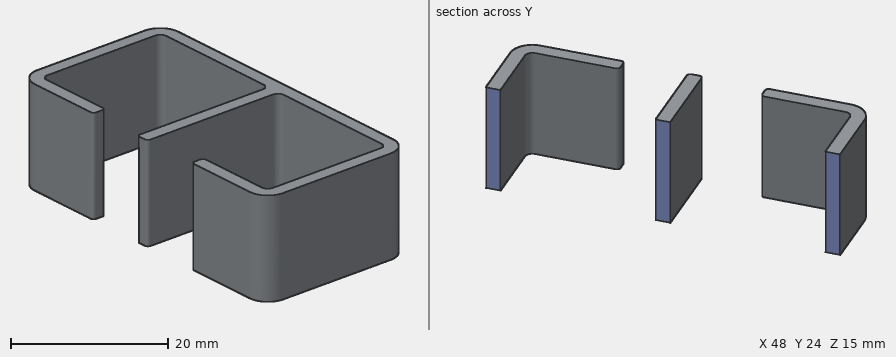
import cadquery as cq

width = 48.0
depth = 24.0
height = 15.0

wall = 2.0
outer_radius = 3.0
inner_radius = outer_radius - wall
lip_length = 14.4
tip_radius = 0.5

web_face_x = wall / 2
side_inner_x = width / 2 - wall
lip_tip_x = width / 2 - lip_length
front_y = -depth / 2
lip_inner_y = front_y + wall
back_inner_y = depth / 2 - wall

selection_margin = 0.01


def vertical_edges_at(body, points):
    """Select the full-height edges standing on the given XY points."""
    edges = body.newObject([])
    for x, y in points:
        around_point = cq.selectors.BoxSelector(
            (x - selection_margin, y - selection_margin, -height / 2),
            (x + selection_margin, y + selection_margin, height / 2),
        )
        edges = edges.add(body.edges("|Z").edges(around_point))
    return edges


def outer_block():
    """Rounded block that encloses both channels."""
    return cq.Workplane("XY").box(width, depth, height).edges("|Z").fillet(outer_radius)


def channel_space(side):
    """Open space of one channel: its chamber and the slot between web and lip."""
    outline = [
        (side * web_face_x, front_y),
        (side * web_face_x, back_inner_y),
        (side * side_inner_x, back_inner_y),
        (side * side_inner_x, lip_inner_y),
        (side * lip_tip_x, lip_inner_y),
        (side * lip_tip_x, front_y),
    ]
    chamber_corners = outline[1:4]
    space = cq.Workplane("XY").polyline(outline).close().extrude(height / 2, both=True)
    return vertical_edges_at(space, chamber_corners).fillet(inner_radius)


def round_tips(body):
    """Round the free edges of both lips and of the web."""
    tips = []
    for side in (-1, 1):
        tips.append((side * lip_tip_x, front_y))
        tips.append((side * lip_tip_x, lip_inner_y))
        tips.append((side * web_face_x, front_y))
    return vertical_edges_at(body, tips).fillet(tip_radius)


profile = outer_block()
for channel_side in (-1, 1):
    profile = profile.cut(channel_space(channel_side))

result = round_tips(profile)